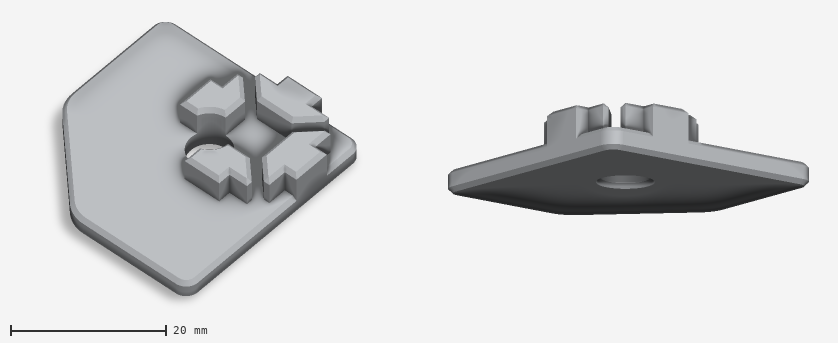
import cadquery as cq
import math

profile_size = 20.0
profile_half = profile_size / 2

plate_thickness = 3.0
octagon_inradius = profile_half * (1 + math.sqrt(2))
corner_radius = 2.0
bevel_corner_radius = 5.0
edge_chamfer = 0.6

key_height = 4.0
key_root_depth = edge_chamfer
neck_half_width = 2.96
flange_half_width = 5.95
flange_outer_reach = 8.0
flange_tip_thickness = 0.95
flange_tip_inner_reach = flange_outer_reach - flange_tip_thickness
key_inner_reach = flange_tip_inner_reach - (flange_half_width - neck_half_width)

hole_diameter = 6.4
hole_offset = 4.0


def make_plate():
    """Square plate with one 45 degree corner, rounded and chamfered all round."""
    outline = [
        (profile_half, profile_half),
        (-octagon_inradius, profile_half),
        (-octagon_inradius, -profile_half),
        (-profile_half, -octagon_inradius),
        (profile_half, -octagon_inradius),
    ]
    plate = cq.Workplane("XY").polyline(outline).close().extrude(plate_thickness)
    square_corners = [outline[0], outline[1], outline[4]]
    bevel_corners = [outline[2], outline[3]]
    plate = round_corners(plate, square_corners, corner_radius)
    plate = round_corners(plate, bevel_corners, bevel_corner_radius)
    return plate.faces("<Z or >Z").edges().chamfer(edge_chamfer)


def round_corners(plate, corners, radius):
    """Fillet the vertical plate edge nearest to each of the given corners."""
    for x, y in corners:
        corner = cq.selectors.NearestToPointSelector((x, y, plate_thickness / 2))
        plate = plate.edges("|Z").edges(corner).fillet(radius)
    return plate


def make_hole_cutter():
    """Through cylinder, flared at 45 degrees at both ends to chamfer the keys and the plate underside."""
    radius = hole_diameter / 2
    top = plate_thickness + key_height
    flare_start = top - edge_chamfer
    half_profile = [
        (0, 0),
        (radius + edge_chamfer, 0),
        (radius, edge_chamfer),
        (radius, flare_start),
        (radius + edge_chamfer, top),
        (0, top),
    ]
    cutter = cq.Workplane("XZ").polyline(half_profile).close().revolve(360, (0, 0), (0, 1))
    return cutter.translate((-hole_offset, -hole_offset, 0))


def make_key_side(has_wing):
    """Points of one key side at positive X, from the outer end inwards."""
    outer_end = (neck_half_width, profile_half)
    inner_end = (neck_half_width, key_inner_reach)
    if not has_wing:
        return [outer_end, inner_end]
    wing = [
        (neck_half_width, flange_outer_reach),
        (flange_half_width, flange_outer_reach),
        (flange_half_width, flange_tip_inner_reach),
    ]
    return [outer_end] + wing + [inner_end]


def make_key(angle, right_wing, left_wing):
    """Key with chamfered top edges, turned about the profile axis by the given angle."""
    right_side = make_key_side(right_wing)
    left_side = [(-x, y) for x, y in reversed(make_key_side(left_wing))]
    key = (
        cq.Workplane("XY", origin=(0, 0, plate_thickness - key_root_depth))
        .polyline(right_side + left_side)
        .close()
        .extrude(key_height + key_root_depth)
        .faces(">Z")
        .edges()
        .chamfer(edge_chamfer)
    )
    return key.rotate((0, 0, 0), (0, 0, 1), angle)


keys = [
    make_key(0, right_wing=True, left_wing=True),
    make_key(90, right_wing=True, left_wing=False),
    make_key(180, right_wing=False, left_wing=True),
    make_key(270, right_wing=True, left_wing=True),
]

result = make_plate()
for key in keys:
    result = result.union(key)
result = result.cut(make_hole_cutter())